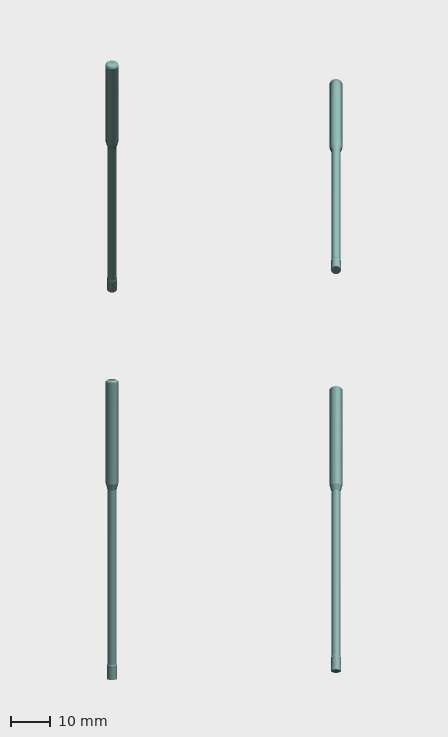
import cadquery as cq

overall_length = 76.2
shank_radius = 3.175 / 2
shank_chamfer = 0.38
shank_bottom = 49.9
neck_radius = 1.14
neck_top = 48.26
head_radius = 1.245
head_length = 3.81
head_taper_length = 0.2

head_taper_bottom = head_length - head_taper_length
chamfer_bottom = overall_length - shank_chamfer
top_face_radius = shank_radius - shank_chamfer


def revolve_about_z(half_outline):
    """Spin a closed half outline, drawn in the XZ plane, around the tool axis."""
    return half_outline.revolve(360, (0, 0, 0), (0, 1, 0))


def make_head():
    """Cutting head: a short cylinder that tapers in to the neck at its upper end."""
    half_outline = (
        cq.Workplane("XZ")
        .moveTo(0, 0)
        .lineTo(head_radius, 0)
        .lineTo(head_radius, head_taper_bottom)
        .lineTo(neck_radius, head_length)
        .lineTo(0, head_length)
        .close()
    )
    return revolve_about_z(half_outline)


def make_shank():
    """Shank: the slim neck, the conical shoulder and the grip with its chamfered end."""
    half_outline = (
        cq.Workplane("XZ")
        .moveTo(0, head_length)
        .lineTo(neck_radius, head_length)
        .lineTo(neck_radius, neck_top)
        .lineTo(shank_radius, shank_bottom)
        .lineTo(shank_radius, chamfer_bottom)
        .lineTo(top_face_radius, overall_length)
        .lineTo(0, overall_length)
        .close()
    )
    return revolve_about_z(half_outline)


head = make_head()
shank = make_shank()
result = cq.Compound.makeCompound([head.val(), shank.val()])